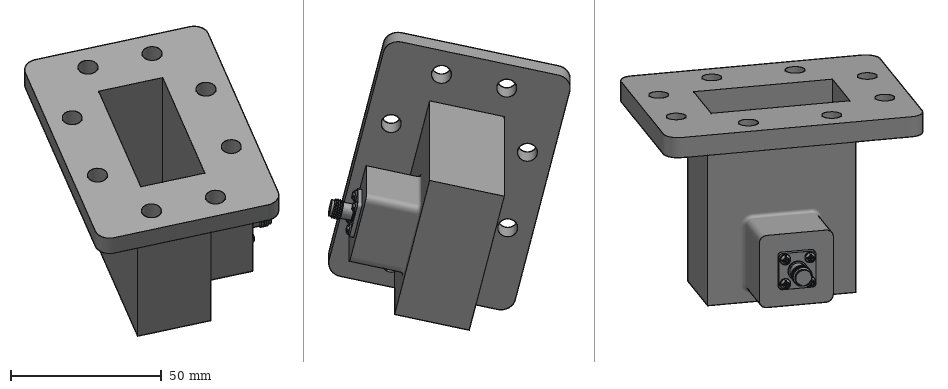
import cadquery as cq

flange_length = 88.9
flange_width = 63.5
flange_thickness = 7.1
flange_corner_radius = 5.0
total_height = 67.0
bolt_hole_diameter = 6.6
end_hole_x = 35.8
end_hole_y = 11.1
side_hole_x = 14.3
side_hole_y = 23.2

tube_length = 50.85
tube_width = 25.4
wall = 1.6

block_side = tube_width
block_corner_radius = 2.6
block_center_z = 17.0
block_face_y = 31.2
weld_radius = 1.25

plate_side = 12.7
plate_thickness = 1.5
plate_corner_radius = 1.25
barrel_diameter = 5.5
barrel_tip_y = 40.6
collar_diameter = 6.6
collar_height = 0.4
thread_diameter = 6.6
thread_pitch = 0.76
thread_turns = 4
thread_tip_gap = 0.9

screw_offset = 4.3
head_diameter = 3.6
head_top_diameter = 2.05
head_height = 1.3
head_rim_height = 0.5
slot_width = 0.45
slot_depth = 0.45

plate_face_y = block_face_y + plate_thickness
barrel_radius = barrel_diameter / 2
tube_face_y = tube_width / 2


def plane_at(y, x=0.0, z=block_center_z):
    """Plane facing +Y, centred on the connector axis unless moved."""
    return cq.Workplane(cq.Plane(origin=(x, y, z), xDir=(1, 0, 0), normal=(0, 1, 0)))


def make_flange():
    holes = [
        (sx * x, sy * y)
        for x, y in ((end_hole_x, end_hole_y), (side_hole_x, side_hole_y))
        for sx in (-1, 1)
        for sy in (-1, 1)
    ]
    return (
        cq.Workplane("XY", origin=(0, 0, total_height - flange_thickness))
        .rect(flange_length, flange_width)
        .extrude(flange_thickness)
        .edges("|Z")
        .fillet(flange_corner_radius)
        .faces(">Z")
        .workplane()
        .pushPoints(holes)
        .hole(bolt_hole_diameter)
    )


def make_tube():
    return cq.Workplane("XY").rect(tube_length, tube_width).extrude(total_height)


def make_cavity():
    return (
        cq.Workplane("XY", origin=(0, 0, wall))
        .rect(tube_length - 2 * wall, tube_width - 2 * wall)
        .extrude(total_height - wall)
    )


def make_tube_and_block():
    """Waveguide body and connector block, joined by a concave weld fillet."""
    block = (
        plane_at(0)
        .rect(block_side, block_side)
        .extrude(block_face_y)
        .edges("|Y")
        .fillet(block_corner_radius)
    )
    reach = block_side / 2 + weld_radius
    margin = 0.1
    weld_seam = cq.selectors.BoxSelector(
        (-reach, tube_face_y - margin, block_center_z - reach),
        (reach, tube_face_y + margin, block_center_z + reach),
    )
    return make_tube().union(block).edges(weld_seam).fillet(weld_radius)


def make_connector_plate():
    return (
        plane_at(block_face_y)
        .rect(plate_side, plate_side)
        .extrude(plate_thickness)
        .edges("|Y")
        .fillet(plate_corner_radius)
    )


def make_barrel():
    """Barrel, base collar and ring-shaped thread teeth, turned about the connector axis."""
    thread_start_y = barrel_tip_y - thread_tip_gap - thread_turns * thread_pitch
    outline = [
        (0, plate_face_y),
        (collar_diameter / 2, plate_face_y),
        (collar_diameter / 2, plate_face_y + collar_height),
        (barrel_radius, plate_face_y + collar_height),
        (barrel_radius, thread_start_y),
    ]
    for turn in range(thread_turns):
        tooth_y = thread_start_y + turn * thread_pitch
        outline.append((thread_diameter / 2, tooth_y + thread_pitch / 2))
        outline.append((barrel_radius, tooth_y + thread_pitch))
    outline += [(barrel_radius, barrel_tip_y), (0, barrel_tip_y)]
    return (
        cq.Workplane("XY", origin=(0, 0, block_center_z))
        .polyline(outline)
        .close()
        .revolve(360, (0, 0, 0), (0, 1, 0))
    )


def make_screw_head(x, z):
    """Screw head with a straight rim, a tapered crown and a cross slot."""
    head_radius = head_diameter / 2
    head = (
        cq.Workplane("XY", origin=(x, plate_face_y, z))
        .lineTo(head_radius, 0)
        .lineTo(head_radius, head_rim_height)
        .lineTo(head_top_diameter / 2, head_height)
        .lineTo(0, head_height)
        .close()
        .revolve(360, (0, 0, 0), (0, 1, 0))
    )
    slot_floor = plane_at(plate_face_y + head_height - slot_depth, x, z)
    return (
        head
        .cut(slot_floor.rect(head_diameter, slot_width).extrude(slot_depth))
        .cut(slot_floor.rect(slot_width, head_diameter).extrude(slot_depth))
    )


result = make_tube_and_block().union(make_flange()).cut(make_cavity())
result = result.union(make_connector_plate()).union(make_barrel())
for side_x in (-1, 1):
    for side_z in (-1, 1):
        screw_z = block_center_z + side_z * screw_offset
        result = result.union(make_screw_head(side_x * screw_offset, screw_z))